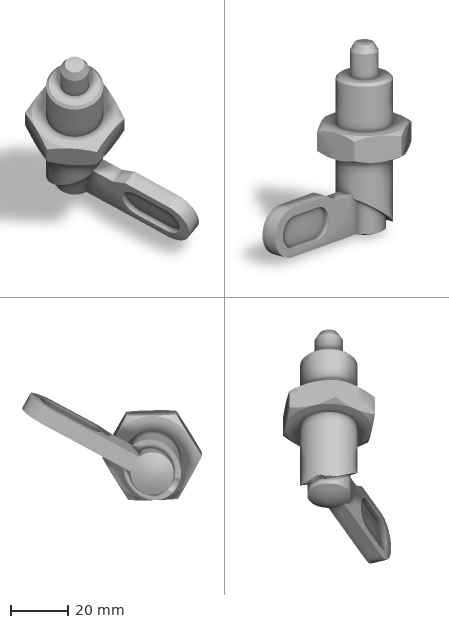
import cadquery as cq
import math


sleeve_radius = 10.0
sleeve_length = 54.5
sleeve_chamfer = 1.0
cam_angle = 35.0
cam_axis_z = -49.0
notch_radius = 4.5
notch_depth = 0.8

nut_sides = 6
nut_across_flats = 30.0
nut_height = 10.0
nut_top_z = -17.5
nut_chamfer_angle = 30.0
nut_face_radius = 14.9

pin_radius = 5.0
pin_projection = 12.0
pin_tip_length = 2.8
pin_tip_angle = 30.0
stem_radius = 6.0

hub_radius = 7.5
dome_height = 1.92
lever_bottom_z = -56.0
lever_thickness = 6.0
lever_reach = 50.0
grip_height = 18.0
arm_height = 15.0
shoulder_start_x = 18.0
shoulder_angle = 30.0
recess_length = 24.0
recess_height = 12.0
recess_end_margin = 4.0
recess_depth = 2.0

arm_top_z = lever_bottom_z + arm_height
grip_top_z = lever_bottom_z + grip_height
grip_mid_z = lever_bottom_z + grip_height / 2


def make_sleeve():
    """Guide sleeve with a stepped bore, a lever slot and a sloping cam end."""
    sleeve = (
        cq.Workplane("XY")
        .circle(sleeve_radius)
        .extrude(-sleeve_length)
        .faces(">Z")
        .chamfer(sleeve_chamfer)
    )
    stem_bore = cq.Workplane("XY").circle(stem_radius).extrude(-sleeve_length)
    hub_bore_depth = sleeve_length + arm_top_z
    hub_bore = (
        cq.Workplane("XY", origin=(0, 0, -sleeve_length))
        .circle(hub_radius)
        .extrude(hub_bore_depth)
    )
    slot = cq.Workplane("XY", origin=(0, 0, -sleeve_length)).box(
        2 * sleeve_radius, lever_thickness, hub_bore_depth, centered=(False, True, False)
    )

    ramp_reach = 2 * sleeve_radius
    ramp_rise = ramp_reach * math.tan(math.radians(cam_angle))
    cam_cut = (
        cq.Workplane("XZ")
        .moveTo(-ramp_reach, cam_axis_z - ramp_rise)
        .lineTo(ramp_reach, cam_axis_z + ramp_rise)
        .lineTo(ramp_reach, cam_axis_z - ramp_rise)
        .close()
        .extrude(sleeve_radius, both=True)
    )
    notch = (
        cq.Workplane("YZ")
        .center(0, -sleeve_length + notch_depth - notch_radius)
        .circle(notch_radius)
        .extrude(-sleeve_radius)
    )
    return sleeve.cut(stem_bore).cut(hub_bore).cut(slot).cut(cam_cut).cut(notch)


def make_lock_nut():
    """Hexagon nut with two flats facing +X and -X, chamfered on both ends."""
    half_side_angle = 180 / nut_sides
    corner_radius = nut_across_flats / 2 / math.cos(math.radians(half_side_angle))
    corner_drop = (corner_radius - nut_face_radius) * math.tan(math.radians(nut_chamfer_angle))
    hexagon = (
        cq.Workplane("XY", origin=(0, 0, nut_top_z))
        .transformed(rotate=(0, 0, half_side_angle))
        .polygon(nut_sides, 2 * corner_radius)
        .extrude(-nut_height)
    )
    bottom_z = nut_top_z - nut_height
    envelope = (
        cq.Workplane("XZ")
        .moveTo(sleeve_radius, bottom_z)
        .lineTo(nut_face_radius, bottom_z)
        .lineTo(corner_radius, bottom_z + corner_drop)
        .lineTo(corner_radius, nut_top_z - corner_drop)
        .lineTo(nut_face_radius, nut_top_z)
        .lineTo(sleeve_radius, nut_top_z)
        .close()
        .revolve(360, (0, 0, 0), (0, 1, 0))
    )
    return hexagon.intersect(envelope)


def make_grip_recess():
    """Rounded finger recess, cut into the -Y face of the grip."""
    recess_mid_x = lever_reach - recess_end_margin - recess_length / 2
    return (
        cq.Workplane("XZ", origin=(recess_mid_x, -lever_thickness / 2, grip_mid_z))
        .slot2D(recess_length, recess_height)
        .extrude(-recess_depth)
    )


def make_lever_plunger():
    """Plunger pin, stem and domed hub turned in one piece with the flat lever."""
    tip_radius = pin_radius - pin_tip_length * math.tan(math.radians(pin_tip_angle))
    dome_radius = (hub_radius**2 + dome_height**2) / (2 * dome_height)
    dome_bottom_z = lever_bottom_z - dome_height
    dome_mid_x = hub_radius / 2
    dome_mid_z = dome_bottom_z + dome_radius - math.sqrt(dome_radius**2 - dome_mid_x**2)
    plunger = (
        cq.Workplane("XZ")
        .moveTo(0, dome_bottom_z)
        .threePointArc((dome_mid_x, dome_mid_z), (hub_radius, lever_bottom_z))
        .lineTo(hub_radius, arm_top_z)
        .lineTo(stem_radius, arm_top_z)
        .lineTo(stem_radius, 0)
        .lineTo(pin_radius, 0)
        .lineTo(pin_radius, pin_projection - pin_tip_length)
        .lineTo(tip_radius, pin_projection)
        .lineTo(0, pin_projection)
        .close()
        .revolve(360, (0, 0, 0), (0, 1, 0))
    )

    grip_radius = grip_height / 2
    shoulder_run = (grip_height - arm_height) / math.tan(math.radians(shoulder_angle))
    lever = (
        cq.Workplane("XZ")
        .moveTo(0, lever_bottom_z)
        .lineTo(lever_reach - grip_radius, lever_bottom_z)
        .threePointArc((lever_reach, grip_mid_z), (lever_reach - grip_radius, grip_top_z))
        .lineTo(shoulder_start_x + shoulder_run, grip_top_z)
        .lineTo(shoulder_start_x, arm_top_z)
        .lineTo(0, arm_top_z)
        .close()
        .extrude(lever_thickness / 2, both=True)
    )
    recess = make_grip_recess()
    return plunger.union(lever).cut(recess).cut(recess.mirror("XZ"))


sleeve = make_sleeve()
lock_nut = make_lock_nut()
lever_plunger = make_lever_plunger()

result = cq.Compound.makeCompound([sleeve.val(), lock_nut.val(), lever_plunger.val()])